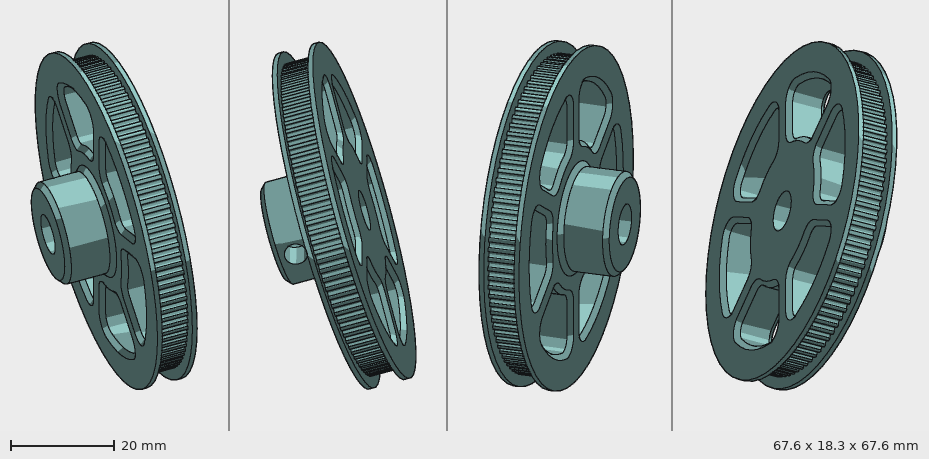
import cadquery as cq
import math


flange_radius = 33.8
flange_thickness = 1.0
belt_width = 6.2
rim_width = belt_width + 2 * flange_thickness

tooth_count = 100
tooth_tip_radius = 31.45
groove_depth = 0.75
groove_radius = 0.555
tooth_edge_radius = 0.2
core_radius = tooth_tip_radius - 2 * groove_depth

hub_radius = 10.3
total_width = 18.3
hub_end_chamfer = 1.0
hub_root_chamfer = 1.0
bore_radius = 4.0

screw_hole_radius = 2.2
screw_hole_from_hub_end = 4.3

spoke_count = 6
spoke_width = 5.1
window_inner_radius = 15.1
window_outer_radius = 26.8
window_corner_radius = 2.5
window_chamfer = 1.0


def polar(radius, angle):
    return (radius * math.cos(angle), radius * math.sin(angle))


def rotated(point, angle):
    x, z = point
    return (
        x * math.cos(angle) - z * math.sin(angle),
        x * math.sin(angle) + z * math.cos(angle),
    )


def mirrored(point):
    return (point[0], -point[1])


def turned(half_section):
    """Solid of revolution around the Y axis from (radius, Y) points."""
    return cq.Workplane("XY").polyline(half_section).close().revolve(360, (0, 0), (0, 1))


def wheel_blank():
    """Two flanges with the plain core between them."""
    front_flange_rear = flange_thickness - rim_width
    return turned([
        (0, 0),
        (flange_radius, 0),
        (flange_radius, -flange_thickness),
        (core_radius, -flange_thickness),
        (core_radius, front_flange_rear),
        (flange_radius, front_flange_rear),
        (flange_radius, -rim_width),
        (0, -rim_width),
    ])


def hub():
    """Hub with a chamfered end and a conical root on the front face of the wheel."""
    return turned([
        (0, -rim_width),
        (hub_radius + hub_root_chamfer, -rim_width),
        (hub_radius, -rim_width - hub_root_chamfer),
        (hub_radius, -total_width + hub_end_chamfer),
        (hub_radius - hub_end_chamfer, -total_width),
        (0, -total_width),
    ])


def toothed_ring():
    """Belt track with round-bottomed grooves and rounded tooth edges."""
    pitch_angle = 2 * math.pi / tooth_count
    root_radius = tooth_tip_radius - groove_depth

    root = (root_radius, 0)
    wall_bottom = (root_radius + groove_radius, groove_radius)
    edge_centre_z = groove_radius + tooth_edge_radius
    edge_centre_radius = tooth_tip_radius - tooth_edge_radius
    edge_angle = math.asin(edge_centre_z / edge_centre_radius)
    edge_centre_x = edge_centre_radius * math.cos(edge_angle)
    wall_top = (edge_centre_x, groove_radius)
    bulge_x, bulge_z = polar(tooth_edge_radius, (edge_angle - math.pi / 2) / 2)
    edge_middle = (edge_centre_x + bulge_x, edge_centre_z + bulge_z)
    land_edge = polar(tooth_tip_radius, edge_angle)

    first_angle = pitch_angle / 2
    outline = cq.Workplane("XZ", origin=(0, -flange_thickness, 0))
    outline = outline.moveTo(*rotated(mirrored(land_edge), first_angle))
    for i in range(tooth_count):
        angle = first_angle + i * pitch_angle
        next_angle = angle + pitch_angle
        outline = (
            outline.threePointArc(rotated(mirrored(edge_middle), angle), rotated(mirrored(wall_top), angle))
            .lineTo(*rotated(mirrored(wall_bottom), angle))
            .threePointArc(rotated(root, angle), rotated(wall_bottom, angle))
            .lineTo(*rotated(wall_top, angle))
            .threePointArc(rotated(edge_middle, angle), rotated(land_edge, angle))
            .threePointArc(
                polar(tooth_tip_radius, angle + pitch_angle / 2),
                rotated(mirrored(land_edge), next_angle),
            )
        )
    return outline.close().circle(core_radius).extrude(belt_width)


def window():
    """Window centred on +X with rounded corners, through the full width of the wheel."""
    half_sector = math.pi / spoke_count

    def spoke_flank_point(radius):
        return polar(radius, half_sector - math.asin(spoke_width / 2 / radius))

    inner = spoke_flank_point(window_inner_radius)
    outer = spoke_flank_point(window_outer_radius)
    return (
        cq.Workplane("XZ")
        .moveTo(*mirrored(inner))
        .lineTo(*mirrored(outer))
        .threePointArc((window_outer_radius, 0), outer)
        .lineTo(*inner)
        .threePointArc((window_inner_radius, 0), mirrored(inner))
        .close()
        .extrude(rim_width)
        .edges("|Y")
        .fillet(window_corner_radius)
    )


def cut_windows(body):
    """Cut the ring of windows and chamfer their rims on both faces of the wheel."""
    opening = window()
    for i in range(spoke_count):
        body = body.cut(opening.rotate((0, 0, 0), (0, 1, 0), i * 360 / spoke_count))
    rims = [rim for face in body.faces("<Y or >Y").vals() for rim in face.innerWires()]
    rim_edges = [edge for rim in rims for edge in rim.Edges()]
    return body.newObject(rim_edges).chamfer(window_chamfer)


def bore():
    return cq.Workplane("XZ").circle(bore_radius).extrude(total_width)


def screw_hole():
    hole_y = -total_width + screw_hole_from_hub_end
    return cq.Workplane("XY", origin=(0, hole_y, 0)).circle(screw_hole_radius).extrude(-hub_radius)


wheel = cut_windows(wheel_blank()).union(hub()).cut(bore()).cut(screw_hole())
result = wheel.union(toothed_ring(), clean=False)